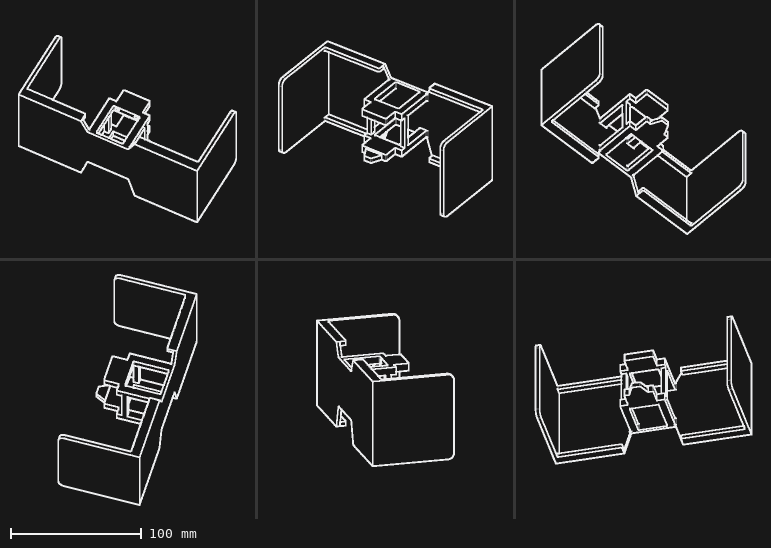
import cadquery as cq

WIDTH = 154.3
DEPTH = 65.0
HEIGHT = 68.4

PANEL_THICKNESS = 2.8
RAIL_DEPTH = 7.9
RAIL_HEIGHT = 3.4
RAIL_EDGE_RADIUS = 1.0

WALL_THICKNESS = 3.2
WALL_CORNER_RADIUS = 5.0
WALL_ROOT_RADIUS = 0.8

NOTCH_MOUTH = 46.3
TOP_NOTCH_DEPTH = 10.6
BOTTOM_NOTCH_DEPTH = 18.2
NOTCH_RADIUS = 1.1

TOWER_WIDTH = 35.2
TOWER_BACK = 36.0
TOWER_BOTTOM = BOTTOM_NOTCH_DEPTH
TOWER_TOP = HEIGHT - TOP_NOTCH_DEPTH
TOWER_ROOT_RADIUS = 1.0
FRAME_HEIGHT = 6.0
WINDOW_WIDTH = 22.8
WINDOW_RADIUS = 0.8
UPPER_WINDOW_BACK = 31.2
LOWER_WINDOW_BACK = 30.7

LEG_WIDTH = 3.9
LEG_FRONT = 27.5
LEG_DEPTH = 4.5

BLOCK_WIDTH = WINDOW_WIDTH
BLOCK_BACK = 48.0
BLOCK_RADIUS = 0.8

TONGUE_BACK = 56.5
TONGUE_ROOT_WIDTH = 14.8
TONGUE_TIP_WIDTH = 6.6
TONGUE_THICKNESS = 4.3
TONGUE_RADIUS = 1.0

HOLE_DIAMETER = 3.2
HOLE_SPACING = 16.7
HOLE_DEPTH = 7.7

SELECT_MARGIN = 0.2


def box(x_min, x_max, y_min, y_max, z_min, z_max):
    """Axis-aligned box given by its limits."""
    size = (x_max - x_min, y_max - y_min, z_max - z_min)
    return cq.Workplane("XY").box(*size, centered=False).translate((x_min, y_min, z_min))


def centred_box(width, y_min, y_max, z_min, z_max):
    """Box that is symmetric about X = 0."""
    return box(-width / 2, width / 2, y_min, y_max, z_min, z_max)


def notch(edge_z, floor_z):
    """Trapezoidal cutter from a panel edge to the notch floor, with rounded floor corners."""
    outline = [
        (-NOTCH_MOUTH / 2, edge_z),
        (NOTCH_MOUTH / 2, edge_z),
        (TOWER_WIDTH / 2, floor_z),
        (-TOWER_WIDTH / 2, floor_z),
    ]
    cutter = cq.Workplane("XZ").polyline(outline).close().extrude(-PANEL_THICKNESS)
    floor_corners = cq.selectors.BoxSelector(
        (-WIDTH / 2, 0, floor_z - SELECT_MARGIN),
        (WIDTH / 2, DEPTH, floor_z + SELECT_MARGIN),
    )
    return cutter.edges("|Y").edges(floor_corners).fillet(NOTCH_RADIUS)


def rail(side, z_min):
    """Half-length rail on one side of the notches; side is -1 for left or 1 for right."""
    body = box(NOTCH_MOUTH / 2, WIDTH / 2, 0, RAIL_DEPTH, z_min, z_min + RAIL_HEIGHT)
    body = body.edges("|Z and <X and >Y").fillet(RAIL_EDGE_RADIUS)
    return body if side > 0 else body.mirror("YZ")


def end_wall(side):
    """Side wall with its two rear corners rounded."""
    body = box(WIDTH / 2 - WALL_THICKNESS, WIDTH / 2, 0, DEPTH, 0, HEIGHT)
    body = body.edges("|X and >Y").fillet(WALL_CORNER_RADIUS)
    return body if side > 0 else body.mirror("YZ")


def frame(z_min, window_back, rounded_edges):
    """Rectangular frame with a block behind it and a window through it."""
    z_max = z_min + FRAME_HEIGHT
    body = centred_box(TOWER_WIDTH, 0, TOWER_BACK, z_min, z_max)
    block = centred_box(BLOCK_WIDTH, window_back, BLOCK_BACK, z_min, z_max)
    block = block.edges("|Z and >Y").fillet(BLOCK_RADIUS)
    window = centred_box(WINDOW_WIDTH, PANEL_THICKNESS, window_back, 0, HEIGHT)
    window = window.edges(rounded_edges).fillet(WINDOW_RADIUS)
    return body.union(block).cut(window)


def leg(side):
    """Upright between the two frames, flush with the tower side."""
    outer = TOWER_WIDTH / 2
    body = box(outer - LEG_WIDTH, outer, LEG_FRONT, LEG_FRONT + LEG_DEPTH, TOWER_BOTTOM, TOWER_TOP)
    return body if side > 0 else body.mirror("YZ")


def tongue():
    """Flat tapered tongue with rounded tip corners."""
    outline = [
        (-TONGUE_ROOT_WIDTH / 2, BLOCK_BACK),
        (TONGUE_ROOT_WIDTH / 2, BLOCK_BACK),
        (TONGUE_TIP_WIDTH / 2, TONGUE_BACK),
        (-TONGUE_TIP_WIDTH / 2, TONGUE_BACK),
    ]
    body = cq.Workplane("XY", origin=(0, 0, TOWER_BOTTOM)).polyline(outline).close()
    return body.extrude(TONGUE_THICKNESS).edges("|Z and >Y").fillet(TONGUE_RADIUS)


def screw_holes():
    """Blind holes running back from the upper window, at mid-height of the frame."""
    plane = cq.Workplane("XZ", origin=(0, UPPER_WINDOW_BACK, TOWER_TOP - FRAME_HEIGHT / 2))
    centres = [(-HOLE_SPACING / 2, 0), (HOLE_SPACING / 2, 0)]
    return plane.pushPoints(centres).circle(HOLE_DIAMETER / 2).extrude(-HOLE_DEPTH)


def round_upright_edges(body, x, y, radius):
    """Fillet every vertical edge at (x, y) and at its mirror image (-x, y)."""
    for side in (-1, 1):
        column = cq.selectors.BoxSelector(
            (side * x - SELECT_MARGIN, y - SELECT_MARGIN, 0),
            (side * x + SELECT_MARGIN, y + SELECT_MARGIN, HEIGHT),
        )
        body = body.edges("|Z").edges(column).fillet(radius)
    return body


panel = centred_box(WIDTH, 0, PANEL_THICKNESS, 0, HEIGHT)
panel = panel.cut(notch(HEIGHT, TOWER_TOP)).cut(notch(0, TOWER_BOTTOM))

result = panel
for side in (-1, 1):
    result = result.union(end_wall(side))
    result = result.union(rail(side, 0))
    result = result.union(rail(side, HEIGHT - RAIL_HEIGHT))
    result = result.union(leg(side))

result = result.union(frame(TOWER_TOP - FRAME_HEIGHT, UPPER_WINDOW_BACK, "|Z"))
result = result.union(frame(TOWER_BOTTOM, LOWER_WINDOW_BACK, "|Z and <Y"))
result = result.union(tongue()).cut(screw_holes())

result = round_upright_edges(result, WIDTH / 2 - WALL_THICKNESS, RAIL_DEPTH, WALL_ROOT_RADIUS)
result = round_upright_edges(result, TOWER_WIDTH / 2, PANEL_THICKNESS, TOWER_ROOT_RADIUS)